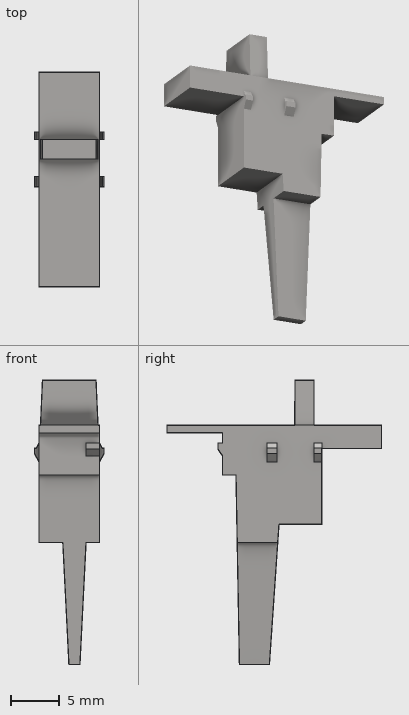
import cadquery as cq


width = 6.2
plate_length = 21.95
plate_front_thickness = 0.8
plate_rear_thickness = 2.4
body_rear_y = -6.1
body_front_y = -16.28
body_front_step_z = -5.1
body_bottom_z = -10.15

leg_rear_top_y = -10.48
leg_rear_bottom_y = -11.46
leg_front_top_y = -14.9
leg_front_bottom_y = -14.55
shoulder_z = -12.0
prong_tip_z = -24.5
prong_center_x = 0.53
prong_root_width = 2.4
prong_tip_width = 1.15

lever_height = 4.6
lever_rear_y = -6.9
lever_root_depth = 2.0
lever_tip_depth = 1.96
lever_root_width = 5.9
lever_tip_width = 5.5

catch_reach = 0.475
catch_ledge = 0.2
catch_top_z = -1.82
catch_ledge_z = -2.35
catch_nose_bottom_z = -2.9
catch_bottom_z = -3.75
rear_catch_length = 0.8
middle_catch_rear_y = -10.67
middle_catch_length = 1.06

front_catch_width = 1.4
front_catch_reach = 0.47
front_catch_top_z = -1.82
front_catch_nose_bottom_z = -2.45
front_catch_bottom_z = -3.15


def extrude_along_x(points, x_start, length):
    """Extrude a closed (Y, Z) outline toward +X from x_start."""
    return cq.Workplane("YZ", origin=(x_start, 0, 0)).polyline(points).close().extrude(length)


def extrude_along_y(points, y_start, length):
    """Extrude a closed (X, Z) outline toward -Y from y_start."""
    return cq.Workplane("XZ", origin=(0, y_start, 0)).polyline(points).close().extrude(length)


def leg_line_y(z, top_y, top_z, bottom_y):
    """Y of a straight leg edge at height z, running from top_z to the prong tip."""
    return top_y + (bottom_y - top_y) * (z - top_z) / (prong_tip_z - top_z)


shoulder_rear_y = leg_line_y(shoulder_z, leg_rear_top_y, body_bottom_z, leg_rear_bottom_y)
shoulder_front_y = leg_line_y(shoulder_z, leg_front_top_y, body_front_step_z, leg_front_bottom_y)


def make_body():
    """Plate, body and lower body as one side outline across the full width."""
    outline = [
        (0, 0),
        (0, -plate_rear_thickness),
        (body_rear_y, -plate_rear_thickness),
        (body_rear_y, body_bottom_z),
        (leg_rear_top_y, body_bottom_z),
        (shoulder_rear_y, shoulder_z),
        (shoulder_front_y, shoulder_z),
        (leg_front_top_y, body_front_step_z),
        (body_front_y, body_front_step_z),
        (body_front_y, -plate_front_thickness),
        (-plate_length, -plate_front_thickness),
        (-plate_length, 0),
    ]
    return extrude_along_x(outline, -width / 2, width)


def make_prong():
    """Prong tapering in both directions below the shoulder."""
    side_outline = [
        (shoulder_rear_y, shoulder_z),
        (leg_rear_bottom_y, prong_tip_z),
        (leg_front_bottom_y, prong_tip_z),
        (shoulder_front_y, shoulder_z),
    ]
    front_outline = [
        (prong_center_x - prong_root_width / 2, shoulder_z),
        (prong_center_x - prong_tip_width / 2, prong_tip_z),
        (prong_center_x + prong_tip_width / 2, prong_tip_z),
        (prong_center_x + prong_root_width / 2, shoulder_z),
    ]
    side_slab = extrude_along_x(side_outline, -width / 2, width)
    return side_slab.intersect(extrude_along_y(front_outline, 0, plate_length))


def make_lever():
    """Upright lever, tapered on both flanks and slightly on its front face."""
    side_outline = [
        (lever_rear_y, 0),
        (lever_rear_y, lever_height),
        (lever_rear_y - lever_tip_depth, lever_height),
        (lever_rear_y - lever_root_depth, 0),
    ]
    front_outline = [
        (-lever_root_width / 2, 0),
        (-lever_tip_width / 2, lever_height),
        (lever_tip_width / 2, lever_height),
        (lever_root_width / 2, 0),
    ]
    side_slab = extrude_along_x(side_outline, -width / 2, width)
    return side_slab.intersect(extrude_along_y(front_outline, 0, plate_length))


def make_side_catch(side, rear_y, length):
    """Catch on one flank (side is +1 or -1): upper slope, ledge, nose, lower slope."""
    flank = width / 2
    nose = flank + catch_reach
    outline = [
        (0, catch_top_z),
        (side * flank, catch_top_z),
        (side * (nose - catch_ledge), catch_ledge_z),
        (side * nose, catch_ledge_z),
        (side * nose, catch_nose_bottom_z),
        (side * flank, catch_bottom_z),
        (0, catch_bottom_z),
    ]
    return extrude_along_y(outline, rear_y, length)


def make_front_catch():
    """Catch on the body's front face with a flat top and a sloping underside."""
    nose_y = body_front_y - front_catch_reach
    outline = [
        (body_rear_y, front_catch_top_z),
        (nose_y, front_catch_top_z),
        (nose_y, front_catch_nose_bottom_z),
        (body_front_y, front_catch_bottom_z),
        (body_rear_y, front_catch_bottom_z),
    ]
    return extrude_along_x(outline, width / 2 - front_catch_width, front_catch_width)


result = make_body().union(make_prong()).union(make_lever()).union(make_front_catch())
for flank_side in (-1, 1):
    result = result.union(make_side_catch(flank_side, body_rear_y, rear_catch_length))
    result = result.union(make_side_catch(flank_side, middle_catch_rear_y, middle_catch_length))